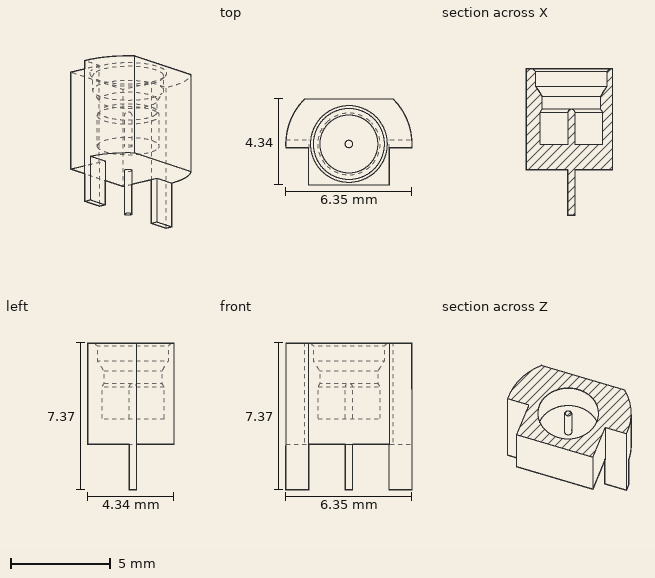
import cadquery as cq
import math

BODY_HEIGHT = 5.08
BODY_RADIUS = 3.175
BACK_Y = 2.27
NOSE_Y = -2.07
NOSE_HALF_WIDTH = 2.04

PIN_DIAMETER = 0.38
PIN_RADIUS = PIN_DIAMETER / 2
LEG_THICKNESS = PIN_DIAMETER
LEG_LENGTH = 2.29
LEG_WIDTH = 1.165
SHOULDER_Y = -LEG_THICKNESS / 2

MOUTH_RADIUS = 1.93
ENTRY_RADIUS = 1.785
BORE_RADIUS = 1.457
RELIEF_RADIUS = 1.56
CHAMFER_DEPTH = MOUTH_RADIUS - ENTRY_RADIUS
ENTRY_DEPTH = 0.89
BORE_START_DEPTH = 1.41
BORE_END_DEPTH = 2.02
RELIEF_START_DEPTH = 2.2
SOCKET_DEPTH = 3.81
PIN_TIP_DEPTH = BORE_END_DEPTH


def make_body():
    """Winged outline extruded upwards from Z = 0."""
    back_x = math.sqrt(BODY_RADIUS**2 - BACK_Y**2)
    wing_x = math.sqrt(BODY_RADIUS**2 - SHOULDER_Y**2)
    arc_angle = (math.atan2(BACK_Y, back_x) + math.atan2(SHOULDER_Y, wing_x)) / 2
    arc_x = BODY_RADIUS * math.cos(arc_angle)
    arc_y = BODY_RADIUS * math.sin(arc_angle)
    return (
        cq.Workplane("XY")
        .moveTo(-NOSE_HALF_WIDTH, NOSE_Y)
        .lineTo(NOSE_HALF_WIDTH, NOSE_Y)
        .lineTo(NOSE_HALF_WIDTH, SHOULDER_Y)
        .lineTo(wing_x, SHOULDER_Y)
        .threePointArc((arc_x, arc_y), (back_x, BACK_Y))
        .lineTo(-back_x, BACK_Y)
        .threePointArc((-arc_x, arc_y), (-wing_x, SHOULDER_Y))
        .lineTo(-NOSE_HALF_WIDTH, SHOULDER_Y)
        .close()
        .extrude(BODY_HEIGHT)
    )


def make_socket():
    """Stepped cavity: chamfered mouth, entry, cone, bore and undercut relief."""
    return (
        cq.Workplane("XZ")
        .moveTo(0, BODY_HEIGHT)
        .lineTo(MOUTH_RADIUS, BODY_HEIGHT)
        .lineTo(ENTRY_RADIUS, BODY_HEIGHT - CHAMFER_DEPTH)
        .lineTo(ENTRY_RADIUS, BODY_HEIGHT - ENTRY_DEPTH)
        .lineTo(BORE_RADIUS, BODY_HEIGHT - BORE_START_DEPTH)
        .lineTo(BORE_RADIUS, BODY_HEIGHT - BORE_END_DEPTH)
        .lineTo(RELIEF_RADIUS, BODY_HEIGHT - RELIEF_START_DEPTH)
        .lineTo(RELIEF_RADIUS, BODY_HEIGHT - SOCKET_DEPTH)
        .lineTo(0, BODY_HEIGHT - SOCKET_DEPTH)
        .close()
        .revolve(360, (0, 0), (0, 1))
    )


def make_pin():
    """Round pin from the leg tips up into the socket, ending in a hemisphere."""
    dome_z = BODY_HEIGHT - PIN_TIP_DEPTH - PIN_RADIUS
    pin_base = cq.Workplane("XY", origin=(0, 0, -LEG_LENGTH))
    shaft = pin_base.circle(PIN_RADIUS).extrude(LEG_LENGTH + dome_z)
    dome = cq.Workplane("XY", origin=(0, 0, dome_z)).sphere(PIN_RADIUS)
    return shaft.union(dome)


def make_leg(side):
    """Leg rounded on its outer face to follow the wing; side is -1 or +1 along X."""
    center_x = side * (BODY_RADIUS - LEG_WIDTH / 2)
    leg_base = cq.Workplane("XY", origin=(0, 0, -LEG_LENGTH))
    blank = leg_base.center(center_x, 0).rect(LEG_WIDTH, LEG_THICKNESS).extrude(LEG_LENGTH)
    disc = leg_base.circle(BODY_RADIUS).extrude(LEG_LENGTH)
    return blank.intersect(disc)


result = make_body().cut(make_socket()).union(make_pin())
for side in (-1, 1):
    result = result.union(make_leg(side))
result = result.clean()